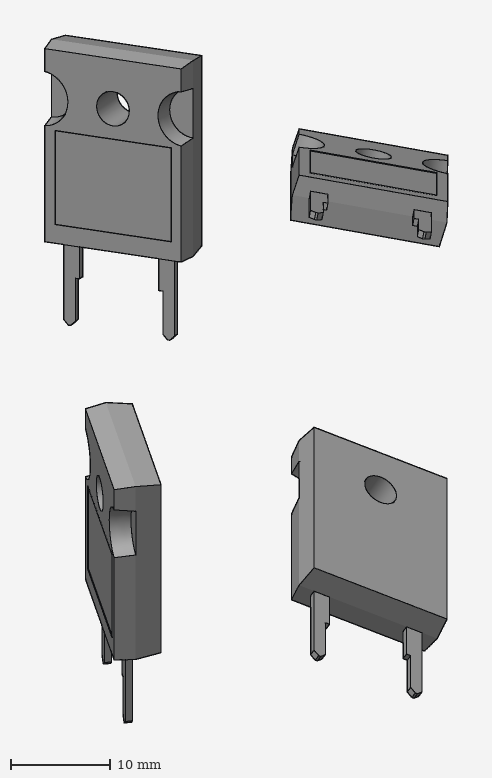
import cadquery as cq

total_height = 29.82
body_width = 15.85
body_depth = 4.83
body_height = 20.8

front_depth = 2.18
back_depth = body_depth - front_depth
taper_inset = 0.3

hole_diameter = 3.65
hole_drop = 5.6
notch_front_radius = 2.9
notch_inner_radius = 2.62

panel_width = 12.97
panel_height = 9.95
panel_bottom = 2.0
panel_depth = 0.1

lead_outer_x = 6.2
lead_wide_width = 1.8
lead_narrow_width = 1.3
lead_wide_length = 3.9
lead_thickness = 0.75
tip_width = 0.25
tip_length = 0.55

body_bottom = total_height - body_height
hole_z = total_height - hole_drop
half_width = body_width / 2


def tapered_half(end_y, bottom_inset):
    """Loft from the parting plane to a smaller rectangle at Y = end_y."""
    end_height = body_height - taper_inset - bottom_inset
    end_width = body_width - 2 * taper_inset
    end_centre_shift = (bottom_inset - taper_inset) / 2
    return (
        cq.Workplane("XZ")
        .center(0, body_bottom + body_height / 2)
        .rect(body_width, body_height)
        .workplane(offset=-end_y)
        .center(0, end_centre_shift)
        .rect(end_width, end_height)
        .loft(ruled=True)
    )


def side_notch(side):
    """Conical cutter centred on a side edge, widening from the parting plane to the front."""
    cone = cq.Solid.makeCone(
        notch_inner_radius,
        notch_front_radius,
        front_depth,
        pnt=cq.Vector(side * half_width, 0, hole_z),
        dir=cq.Vector(0, -1, 0),
    )
    return cq.Workplane(cone)


def lead(side):
    """Stepped flat lead with a blunt pointed tip, its back on the parting plane."""
    wide_x = lead_outer_x - lead_wide_width
    narrow_x = lead_outer_x - lead_narrow_width
    tip_x = lead_outer_x - lead_narrow_width / 2
    step_z = body_bottom - lead_wide_length
    outline = [
        (lead_outer_x, body_bottom),
        (lead_outer_x, tip_length),
        (tip_x + tip_width / 2, 0),
        (tip_x - tip_width / 2, 0),
        (narrow_x, tip_length),
        (narrow_x, step_z),
        (wide_x, step_z),
        (wide_x, body_bottom),
    ]
    points = [(side * x, z) for x, z in outline]
    return cq.Workplane("XZ").polyline(points).close().extrude(lead_thickness)


body = tapered_half(-front_depth, 0).union(tapered_half(back_depth, taper_inset))

hole = (
    cq.Workplane("XZ", origin=(0, back_depth, hole_z))
    .circle(hole_diameter / 2)
    .extrude(body_depth)
)
body = body.cut(hole)

panel_centre_z = body_bottom + panel_bottom + panel_height / 2
panel = (
    cq.Workplane("XZ", origin=(0, panel_depth - front_depth, panel_centre_z))
    .rect(panel_width, panel_height)
    .extrude(panel_depth)
)
body = body.cut(panel)

for side in (-1, 1):
    body = body.cut(side_notch(side)).union(lead(side))

result = body